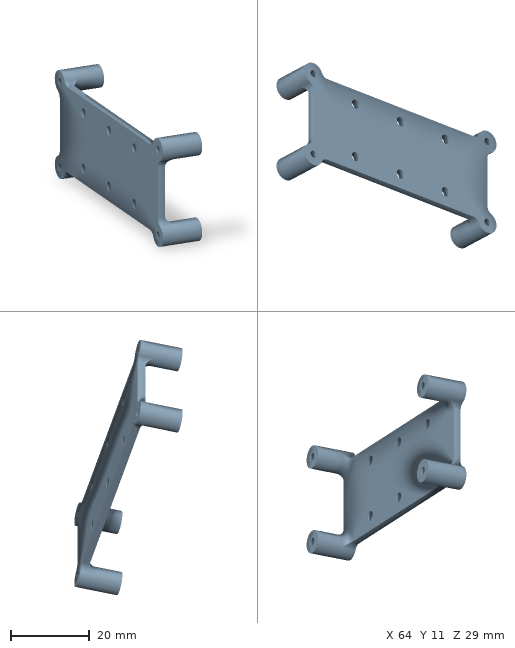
import cadquery as cq
import math

length = 64.0
height = 29.0
depth = 11.0
plate_thickness = 2.0
post_diameter = 6.0
post_hole_diameter = 2.0
fillet_radius = 2.0
plate_hole_diameter = 2.5
plate_hole_pitch = 15.0
plate_hole_columns = 3
plate_hole_rows = 2

post_radius = post_diameter / 2
half_x = (length - post_diameter) / 2
half_z = (height - post_diameter) / 2
post_centers = [(half_x, half_z), (-half_x, half_z), (-half_x, -half_z), (half_x, -half_z)]

edge_reach = math.sqrt((post_radius + fillet_radius) ** 2 - fillet_radius ** 2)
post_share = post_radius / (post_radius + fillet_radius)


def outline():
    """Plate outline with a round ear at each corner, drawn counterclockwise."""
    path = cq.Workplane("XZ").moveTo(half_x, -half_z + edge_reach)
    for corner in range(len(post_centers)):
        center = cq.Vector(*post_centers[corner])
        angle = math.radians(90 * (corner + 1))
        incoming = cq.Vector(math.cos(angle), math.sin(angle))
        outgoing = cq.Vector(-incoming.y, incoming.x)
        edge_end = center - incoming * edge_reach
        ear_start = center - (incoming * edge_reach + outgoing * fillet_radius) * post_share
        ear_end = center + (outgoing * edge_reach + incoming * fillet_radius) * post_share
        edge_start = center + outgoing * edge_reach
        path = path.lineTo(edge_end.x, edge_end.y)
        for point in (ear_start, ear_end, edge_start):
            path = path.tangentArcPoint((point.x, point.y), relative=False)
    return path.close()


def post_flare(x, z):
    """Concave ring that blends a post into the back of the plate."""
    outer = post_radius + fillet_radius
    top = plate_thickness + fillet_radius
    sag = fillet_radius * (1 - math.sqrt(0.5))
    return (
        cq.Workplane("XY")
        .lineTo(outer, 0)
        .lineTo(outer, plate_thickness)
        .threePointArc((post_radius + sag, plate_thickness + sag), (post_radius, top))
        .lineTo(0, top)
        .close()
        .revolve(360, (0, 0, 0), (0, 1, 0))
        .translate((x, 0, z))
    )


body = outline().extrude(-plate_thickness)
flare_limit = outline().extrude(-(plate_thickness + fillet_radius))
for post_x, post_z in post_centers:
    body = body.union(post_flare(post_x, post_z).intersect(flare_limit))
posts = cq.Workplane("XZ").pushPoints(post_centers).circle(post_radius).extrude(-depth)
body = body.union(posts)

post_holes = cq.Workplane("XZ").pushPoints(post_centers).circle(post_hole_diameter / 2).extrude(-depth)
plate_holes = (
    cq.Workplane("XZ")
    .rarray(plate_hole_pitch, plate_hole_pitch, plate_hole_columns, plate_hole_rows)
    .circle(plate_hole_diameter / 2)
    .extrude(-plate_thickness)
)
result = body.cut(post_holes).cut(plate_holes)